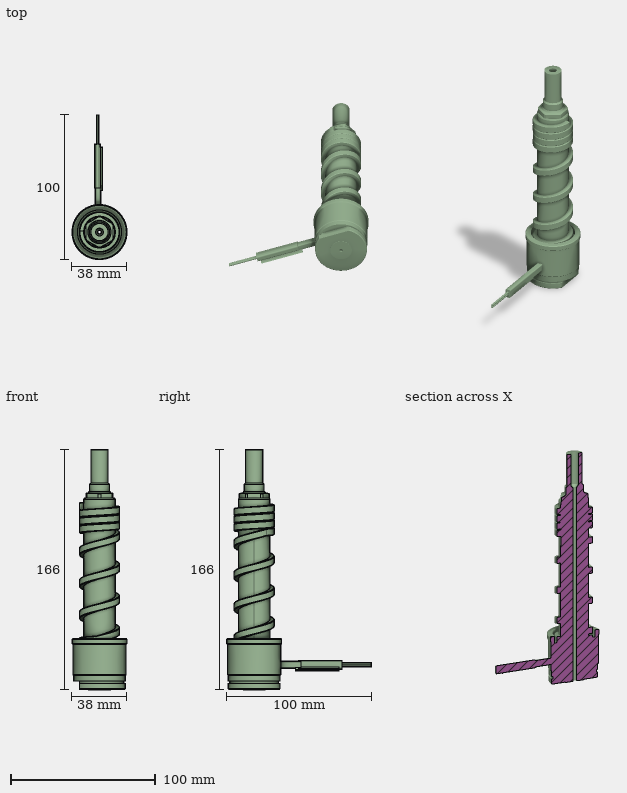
import cadquery as cq
import math

total_height = 166.0
shaft_radius = 6.0
shaft_chamfer_top = 143.0
collar_radius = 7.0
collar_top = 142.0
collar_bottom = 137.1
flare_radius = 8.0
flare_bottom = 136.1
hex_flat_distance = 9.5
hex_round_radius = 10.5
hex_cone_bottom = 135.5
tube_top = 132.5
tube_chamfer_height = 0.8

bore_radius = 2.7
bore_depth = 23.2
drill_tip_depth = 1.7
through_radius = 1.25

tube_radius = 11.0
edge_chamfer = 0.5
flange_radius = 19.0
flange_top = 35.4
flange_bottom = 31.4
barrel_radius = 18.5
barrel_bottom = 10.0
foot_radius = 18.0
foot_bottom = 6.0
groove_radius = 17.0
groove_bottom = 4.5
pad_height = 0.3
pad_radius = 7.5
base_flat_distance = 14.0
recess_radius = 15.3
recess_depth = 5.0

spring_radius = 14.0
spring_embed = 0.5
wire_height = 5.0
wire_chamfer = 0.42
open_pitch = 21.9
close_pitch = 5.3
open_start_z = 34.7
open_start_angle = 260.0
open_sweep = 1217.0
open_turns = open_sweep / 360
bottom_close_turns = 1.0
top_close_sweep = 1220.0
top_close_turns = top_close_sweep / 360

joint_overlap = 1.7
lead_z = 17.3
lead_x = -1.0
lead_width = 4.0
lead_height = 5.0
lead_edge = 0.7
sleeve_x = -1.3
sleeve_width = 4.0
sleeve_height = 6.3
sleeve_edge = 1.0
sleeve_start = 30.5
sleeve_length = 30.2
tag_shift = -2.0
tag_bottom = 13.1
tag_reach = 2.2
tag_thickness = 1.0
core_x = -1.2
core_z = 17.3
core_radius = 0.75
core_pitch = 1.41
core_count = 2
core_end = 81.0


def turned_body():
    """Shaft, collar, tube and base as one revolved outline of (radius, height) points."""
    outline = [
        (0, 0),
        (pad_radius, 0),
        (pad_radius, pad_height),
        (foot_radius - edge_chamfer, pad_height),
        (foot_radius, pad_height + edge_chamfer),
        (foot_radius, groove_bottom),
        (groove_radius, groove_bottom),
        (groove_radius, foot_bottom),
        (foot_radius, foot_bottom),
        (foot_radius, barrel_bottom),
        (barrel_radius, barrel_bottom + edge_chamfer),
        (barrel_radius, flange_bottom),
        (flange_radius, flange_bottom + edge_chamfer),
        (flange_radius, flange_top - edge_chamfer),
        (flange_radius - edge_chamfer, flange_top),
        (recess_radius, flange_top),
        (recess_radius, flange_top - recess_depth),
        (tube_radius, flange_top - recess_depth),
        (tube_radius, tube_top - tube_chamfer_height),
        (tube_radius - edge_chamfer, tube_top),
        (collar_radius, tube_top),
        (collar_radius, collar_top),
        (shaft_radius, shaft_chamfer_top),
        (shaft_radius, total_height),
        (0, total_height),
    ]
    return cq.Workplane("XZ").polyline(outline).close().revolve()


def base_flat():
    """Material to remove so the lower end of the base has a flat on its -X side."""
    depth = foot_radius - base_flat_distance
    block = cq.Workplane("XY").box(depth, 2 * foot_radius, foot_bottom, centered=(False, True, False))
    return block.translate((-foot_radius, 0, 0))


def hexagon():
    """Hexagon with rounded corners, a sloping top and a flare up to the collar."""
    height = collar_bottom - tube_top
    half_side_angle = 30
    corner_distance = hex_flat_distance / math.cos(math.radians(half_side_angle))
    prism = cq.Workplane("XY", origin=(0, 0, tube_top)).polygon(6, 2 * corner_distance).extrude(height)
    prism = prism.rotate((0, 0, 0), (0, 0, 1), half_side_angle)
    outline = [
        (0, tube_top),
        (hex_round_radius, tube_top),
        (hex_round_radius, hex_cone_bottom),
        (flare_radius, flare_bottom),
        (collar_radius, collar_bottom),
        (0, collar_bottom),
    ]
    return prism.intersect(cq.Workplane("XZ").polyline(outline).close().revolve())


def bore():
    """Bore from the top with a drill tip, and a smaller hole through the whole body."""
    bore_bottom = total_height - bore_depth
    outline = [
        (0, 0),
        (through_radius, 0),
        (through_radius, bore_bottom - drill_tip_depth),
        (bore_radius, bore_bottom),
        (bore_radius, total_height),
        (0, total_height),
    ]
    return cq.Workplane("XZ").polyline(outline).close().revolve()


def coil(pitch, turns, start_z, start_angle):
    """Stretch of spring rising counter-clockwise from a start height and angle."""
    inner_radius = tube_radius - spring_embed
    middle_radius = (inner_radius + spring_radius) / 2
    path = cq.Wire.makeHelix(pitch, pitch * turns, middle_radius)
    half_height = wire_height / 2
    outline = [
        (inner_radius, -half_height),
        (spring_radius - wire_chamfer, -half_height),
        (spring_radius, -half_height + wire_chamfer),
        (spring_radius, half_height - wire_chamfer),
        (spring_radius - wire_chamfer, half_height),
        (inner_radius, half_height),
    ]
    section = cq.Workplane("XZ").polyline(outline).close()
    stretch = section.sweep(cq.Workplane(path), isFrenet=True)
    return stretch.rotate((0, 0, 0), (0, 0, 1), start_angle).translate((0, 0, start_z))


def spring():
    """Open coils in the middle with close coils at both ends."""
    open_end_z = open_start_z + open_pitch * open_turns
    open_end_angle = open_start_angle + 360 * open_turns
    bottom_start_z = open_start_z - close_pitch * bottom_close_turns
    bottom_start_angle = open_start_angle - 360 * bottom_close_turns
    return [
        coil(close_pitch, bottom_close_turns, bottom_start_z, bottom_start_angle),
        coil(open_pitch, open_turns, open_start_z, open_start_angle),
        coil(close_pitch, top_close_turns, open_end_z, open_end_angle),
    ]


def bar_along_y(x, z, width, height, edge, start, length):
    """Bar of rectangular section with rounded long edges, running along +Y."""
    bar = cq.Workplane("XY").box(width, length, height, centered=(True, False, True))
    return bar.edges("|Y").fillet(edge).translate((x, start, z))


def lead():
    """Cable, its sleeve with a tag sloping at 45 degrees, and the bare cores at the end."""
    cable_start = barrel_radius - joint_overlap
    sleeve_end = sleeve_start + sleeve_length
    cable_length = sleeve_start + joint_overlap - cable_start
    cable = bar_along_y(lead_x, lead_z, lead_width, lead_height, lead_edge, cable_start, cable_length)
    sleeve = bar_along_y(
        sleeve_x, lead_z, sleeve_width, sleeve_height, sleeve_edge, sleeve_start, sleeve_length
    )
    tag_fall = tag_reach - sleeve_x
    tag_outline = [
        (tag_reach, tag_bottom),
        (tag_reach, tag_bottom + tag_thickness),
        (sleeve_x, tag_bottom + tag_thickness + tag_fall),
        (sleeve_x, tag_bottom + tag_fall),
    ]
    tag_plane = cq.Workplane("XZ", origin=(0, sleeve_start + tag_shift, 0))
    tag = tag_plane.polyline(tag_outline).close().extrude(-sleeve_length)
    core_start = sleeve_end - joint_overlap
    core_length = core_end - core_start
    parts = cable.union(sleeve).union(tag)
    for index in range(core_count):
        z = core_z + core_pitch * (index - (core_count - 1) / 2)
        core = cq.Workplane("XZ", origin=(core_x, core_start, z)).circle(core_radius).extrude(-core_length)
        parts = parts.union(core)
    return parts


result = turned_body().cut(base_flat()).union(hexagon())
for stretch in spring():
    result = result.union(stretch)
result = result.union(lead()).cut(bore())